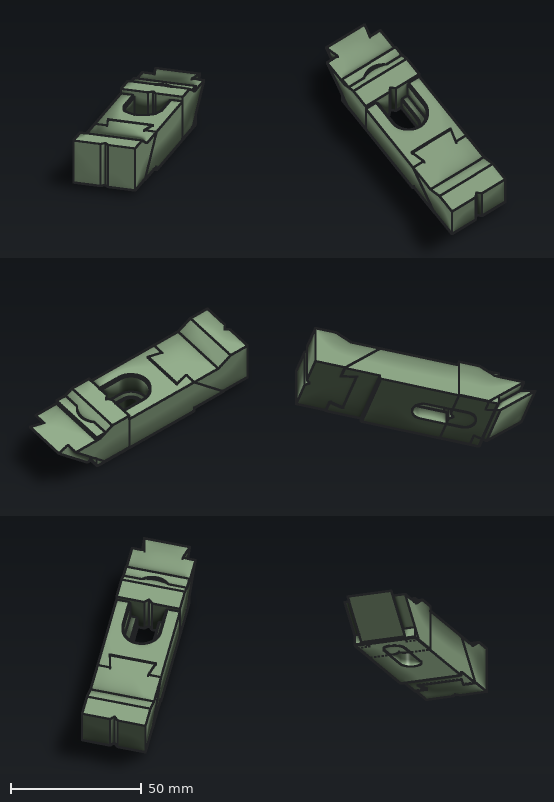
import cadquery as cq
import math

width = 25.0
half_width = width / 2

jaw_bottom_z = 2.0
jaw_shelf_height = 14.0
jaw_rise = 3.5
jaw_crown_length = 8.3
jaw_ramp_angle = 30.0
jaw_ramp_run = jaw_rise / math.tan(math.radians(jaw_ramp_angle))
jaw_height = jaw_shelf_height + jaw_rise
jaw_shelf_length = 26.1
rear_jaw_y = 57.7
rear_jaw_drop = 1.6
notch_width = 3.0
notch_depth = notch_width / 2

tail_reach = 5.5
tail_root_width = 15.0
tail_tip_width = 18.0
tail_end_gap = 0.4

base_top_z = jaw_bottom_z + jaw_shelf_height
base_rear_y = 73.5
ledge_z = 1.6
key_front_y = 25.9
key_chamfer = 0.45

slot_front_center_y = 47.0
slot_rear_center_y = 63.8
slot_width = 14.1
slot_floor_z = 6.7
slot_chamfer = 0.45
bolt_slot_width = 8.4
bolt_slot_chamfer = 0.3

margin = 0.9


def extrude_profile(points):
    """Extrude a (Y, Z) outline across the full width."""
    return cq.Workplane("YZ").polyline(points).close().extrude(half_width, both=True)


def make_dovetail(reach, bottom_z, top_z):
    """Make a dovetail along the front jaw's 45 degree face, with level ends."""
    flare = (tail_tip_width - tail_root_width) / 2 / tail_reach
    half_root = tail_root_width / 2
    half_tip = half_root + flare * reach
    root_y = jaw_shelf_length - (base_top_z - bottom_z)
    outline = [
        (-half_root, root_y),
        (half_root, root_y),
        (half_tip, root_y + reach),
        (-half_tip, root_y + reach),
    ]
    bottom = cq.Wire.makePolygon([cq.Vector(x, y, bottom_z) for x, y in outline], close=True)
    rise = top_z - bottom_z
    return cq.Workplane(cq.Solid.extrudeLinear(bottom, [], cq.Vector(0, rise, rise)))


def make_jaw():
    """Make a jaw in the front position."""
    jaw_top_z = jaw_bottom_z + jaw_height
    body = extrude_profile([
        (0, jaw_bottom_z),
        (jaw_shelf_length - jaw_shelf_height, jaw_bottom_z),
        (jaw_shelf_length, base_top_z),
        (jaw_crown_length + jaw_ramp_run, base_top_z),
        (jaw_crown_length, jaw_top_z),
        (0, jaw_top_z),
    ])
    notch = (
        cq.Workplane("XY", origin=(0, 0, jaw_bottom_z))
        .polyline([(-notch_width / 2, 0), (notch_width / 2, 0), (0, notch_depth)])
        .close()
        .extrude(jaw_height)
    )
    tail = make_dovetail(tail_reach, jaw_bottom_z, base_top_z)
    return body.union(tail).cut(notch)


def make_slot(slot_span_width, bottom_z, top_z):
    """Make a vertical round-ended slot cutter."""
    center_distance = slot_rear_center_y - slot_front_center_y
    middle_y = (slot_front_center_y + slot_rear_center_y) / 2
    return (
        cq.Workplane("XY", origin=(0, middle_y, bottom_z))
        .slot2D(center_distance + slot_span_width, slot_span_width, 90)
        .extrude(top_z - bottom_z)
    )


def make_chamfered_slot(slot_span_width, bottom_z, top_z, chamfer):
    """Make a slot cutter whose mouth at top_z flares by a 45 degree chamfer."""
    flare = (
        make_slot(slot_span_width + 2 * chamfer, top_z - 2 * chamfer, top_z)
        .faces("<Z")
        .chamfer(chamfer)
    )
    return make_slot(slot_span_width, bottom_z, top_z).union(flare)


def make_base_blank():
    """Make the slotted base block before the rear jaw is fitted into it."""
    blank = extrude_profile([
        (jaw_shelf_length - (base_top_z - ledge_z), ledge_z),
        (key_front_y, ledge_z),
        (key_front_y, key_chamfer),
        (key_front_y + key_chamfer, 0),
        (base_rear_y - key_chamfer, 0),
        (base_rear_y, key_chamfer),
        (base_rear_y, base_top_z),
        (jaw_shelf_length, base_top_z),
    ])
    tail_groove = make_dovetail(tail_reach + tail_end_gap, 0, base_top_z + margin)
    slot = make_chamfered_slot(slot_width, slot_floor_z, base_top_z, slot_chamfer)
    bolt_slot = make_chamfered_slot(bolt_slot_width, -margin, slot_floor_z, bolt_slot_chamfer)
    return blank.cut(tail_groove).cut(slot).cut(bolt_slot)


def make_base(fitted_base):
    """Keep the main base, which lies in front of and below the rear jaw."""
    return fitted_base.solids("<Y")


def make_wedge_strip(fitted_base):
    """Keep the strip above the rear jaw's shelf, which the jaw separates from the base."""
    return fitted_base.solids(">Y")


front_jaw = make_jaw()
rear_jaw = make_jaw().translate((0, rear_jaw_y, -rear_jaw_drop))
fitted_base = make_base_blank().cut(rear_jaw)
base = make_base(fitted_base)
wedge_strip = make_wedge_strip(fitted_base)

result = cq.Compound.makeCompound([
    front_jaw.val(),
    rear_jaw.val(),
    base.val(),
    wedge_strip.val(),
])